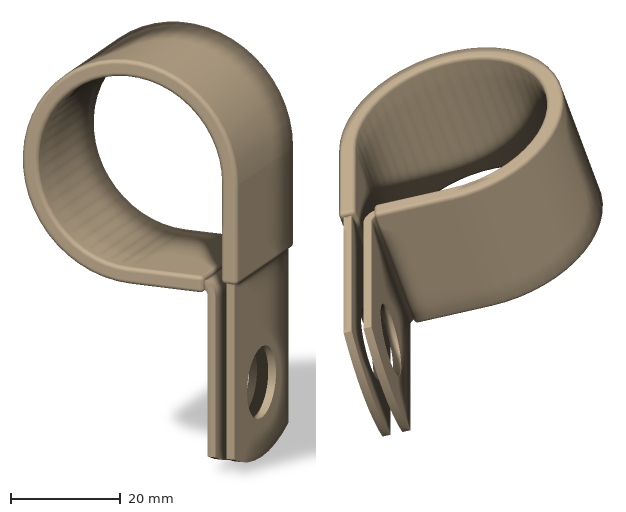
import cadquery as cq

loop_radius = 21.34
strap_thickness = 1.5
cushion_wall = 0.81
strap_width = 25.4
overall_height = 76.9
cushion_leg_length = 19.1
cushion_foot_length = 14.6
edge_radius = 0.8
bend_inner_radius = 1.45
inner_leg_outer_face = 16.8
hole_diameter = 13.5
hole_above_tip = 14.2
tip_sagitta = 3.0

cushion_thickness = strap_thickness + 2 * cushion_wall
cushion_width = strap_width + 2 * cushion_wall
strap_radius = loop_radius - cushion_wall
tip_z = loop_radius - overall_height
corner_z = tip_z + tip_sagitta
hole_z = tip_z + hole_above_tip
bend_outer_radius = bend_inner_radius + strap_thickness
bend_x = inner_leg_outer_face - bend_outer_radius
bend_z = -strap_radius - bend_inner_radius


def loop_band(outer_radius, thickness, width, leg_end_z, foot_end_x):
    """Three-quarter ring with a leg down at +X and a foot along +X at the bottom."""
    inner_radius = outer_radius - thickness
    diagonal = 0.5 ** 0.5
    return (
        cq.Workplane("XZ")
        .moveTo(outer_radius, leg_end_z)
        .lineTo(outer_radius, 0)
        .threePointArc((-outer_radius * diagonal, outer_radius * diagonal), (0, -outer_radius))
        .lineTo(foot_end_x, -outer_radius)
        .lineTo(foot_end_x, -inner_radius)
        .lineTo(0, -inner_radius)
        .threePointArc((-inner_radius * diagonal, inner_radius * diagonal), (inner_radius, 0))
        .lineTo(inner_radius, leg_end_z)
        .close()
        .extrude(width / 2, both=True)
    )


def strap_bend():
    """Quarter ring joining the foot of the strap to its inner leg."""
    ring = (
        cq.Workplane("XZ", origin=(bend_x, 0, bend_z))
        .circle(bend_outer_radius)
        .circle(bend_inner_radius)
        .extrude(strap_width / 2, both=True)
    )
    quadrant = cq.Workplane("XY").box(
        bend_outer_radius, strap_width, bend_outer_radius, centered=(False, True, False)
    )
    return ring.intersect(quadrant.translate((bend_x, 0, bend_z)))


def strap_leg(outer_face_x, top_z):
    """Flat vertical leg with a bolt hole and a rounded tip."""
    half_width = strap_width / 2
    start_x = outer_face_x - strap_thickness
    leg = (
        cq.Workplane("YZ", origin=(start_x, 0, 0))
        .moveTo(-half_width, top_z)
        .lineTo(-half_width, corner_z)
        .threePointArc((0, tip_z), (half_width, corner_z))
        .lineTo(half_width, top_z)
        .close()
        .extrude(strap_thickness)
    )
    hole = (
        cq.Workplane("YZ", origin=(start_x, 0, hole_z))
        .circle(hole_diameter / 2)
        .extrude(strap_thickness)
    )
    return leg.cut(hole)


cushion = loop_band(
    loop_radius, cushion_thickness, cushion_width, -cushion_leg_length, cushion_foot_length
)
leg_end = cq.selectors.NearestToPointSelector(
    (loop_radius - cushion_thickness / 2, 0, -cushion_leg_length)
)
foot_end = cq.selectors.NearestToPointSelector(
    (cushion_foot_length, 0, cushion_thickness / 2 - loop_radius)
)
rounded_faces = cushion.faces("|Y").add(cushion.faces(leg_end)).add(cushion.faces(foot_end))
cushion = rounded_faces.edges().fillet(edge_radius)

strap = loop_band(strap_radius, strap_thickness, strap_width, -cushion_leg_length, bend_x)
strap = strap.union(strap_bend())
strap = strap.union(strap_leg(inner_leg_outer_face, bend_z))
strap = strap.union(strap_leg(strap_radius, -cushion_leg_length))

result = cushion.union(strap)